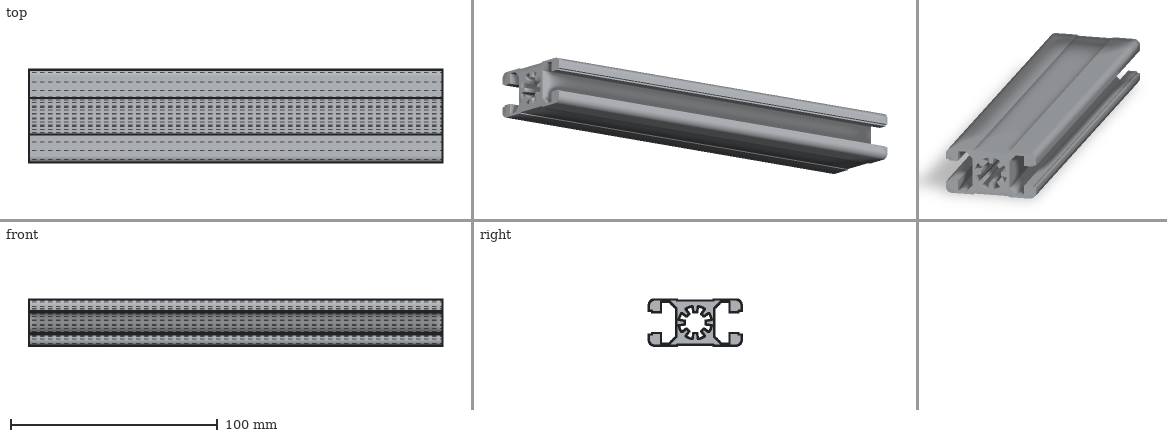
import cadquery as cq

length = 200.0
width = 45.0
height = 22.5
corner_radius = 3.0

recess_width = 17.6
recess_depth = 0.5

slot_opening = 10.0
lip_thickness = 6.0
slot_cavity_height = 20.0
slot_floor_half_width = 9.2
slot_corner_chamfer = 3.2
mouth_relief_depth = 1.5
mouth_relief_height = 0.7

bore_radius = 8.0
rib_count = 8
rib_tip_radius = 5.0
rib_tip_width = 1.9
rib_root_width = 3.0
rib_root_overlap = 0.8

half_width = width / 2
half_height = height / 2


def make_bar():
    bar = cq.Workplane("YZ").rect(width, height).extrude(length)
    return bar.edges("|X").fillet(corner_radius)


def make_recess(side):
    """Recess cutter for the top face (side = 1) or the bottom face (side = -1)."""
    return (
        cq.Workplane("YZ")
        .center(0, side * half_height)
        .rect(recess_width, 2 * recess_depth)
        .extrude(length)
    )


def make_slot(side):
    """T-slot cutter for the +Y side (side = 1) or the -Y side (side = -1)."""
    half_opening = slot_opening / 2
    half_cavity = slot_cavity_height / 2
    lip_inside = half_width - lip_thickness
    upper_half = [
        (half_width, half_opening + mouth_relief_height),
        (half_width - mouth_relief_depth, half_opening + mouth_relief_height),
        (half_width - mouth_relief_depth, half_opening),
        (lip_inside, half_opening),
        (lip_inside, half_cavity),
        (slot_floor_half_width + slot_corner_chamfer, half_cavity),
        (slot_floor_half_width, half_cavity - slot_corner_chamfer),
    ]
    lower_half = [(y, -z) for y, z in reversed(upper_half)]
    outline = [(side * y, z) for y, z in upper_half + lower_half]
    return cq.Workplane("YZ").polyline(outline).close().extrude(length)


def make_rib(angle):
    """Tapered rib reaching from the bore wall towards the centre."""
    root_radius = bore_radius + rib_root_overlap
    rib = (
        cq.Workplane("YZ")
        .polyline([
            (rib_tip_radius, -rib_tip_width / 2),
            (rib_tip_radius, rib_tip_width / 2),
            (root_radius, rib_root_width / 2),
            (root_radius, -rib_root_width / 2),
        ])
        .close()
        .extrude(length)
    )
    return rib.rotate((0, 0, 0), (1, 0, 0), angle)


def make_bore():
    """Bore cutter with the rib shapes taken out of it."""
    bore = cq.Workplane("YZ").circle(bore_radius).extrude(length)
    for index in range(rib_count):
        bore = bore.cut(make_rib(index * 360 / rib_count))
    return bore


result = make_bar()
for side in (1, -1):
    result = result.cut(make_recess(side)).cut(make_slot(side))
result = result.cut(make_bore()).translate((-length / 2, 0, 0))